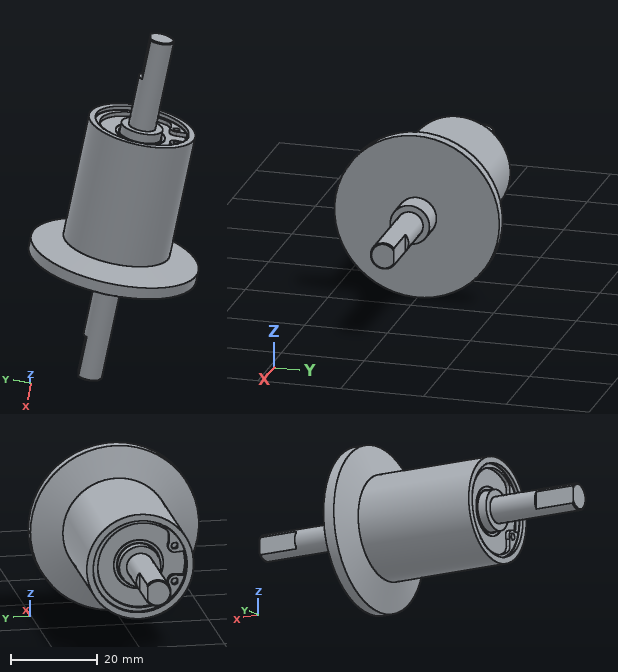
import cadquery as cq

total_length = 86.1
shaft_start = -total_length / 2
shaft_end = total_length / 2
housing_start = -20.75
cone_start = 9.6
cone_end = 11.7
flange_end = 14.55
journal_end = 20.5
journal_inset = 0.1
journal_start = housing_start + journal_inset

housing_diameter = 25.3
flange_diameter = 39.9
bore_diameter = 22.2
ring_depth = 1.0

ring_thickness = 1.0
groove_diameter = 22.65
ring_opening_diameter = 20.5
ring_opening_offset = -0.4
lug_edge_y = -7.1
lug_radius = 1.55
lug_hole_diameter = 1.55
lug_hole_y = -8.35
lug_hole_z = 4.3
opening_corner_radius = 2.1
gap_flare = 0.3

bearing_width = 6.0
bearing_chamfer = 0.215
inner_ring_diameter = 11.7
inner_ring_inset = 0.2

shaft_diameter = 6.4
journal_diameter = 9.8
output_journal_diameter = 9.5
shaft_chamfer = 0.3
flat_length = 10.2
flat_y = 2.4

ring_start = housing_start + ring_depth
bearing_start = ring_start + ring_thickness
bearing_end = bearing_start + bearing_width


def cylinder(diameter, start, end, y=0.0, z=0.0):
    """Cylinder along X between two stations."""
    return cq.Workplane("YZ", origin=(start, y, z)).circle(diameter / 2).extrude(end - start)


def block(start, end, y_min, y_max, z_min, z_max):
    """Axis-aligned box given by its limits."""
    size = (end - start, y_max - y_min, z_max - z_min)
    return cq.Workplane("XY").box(*size, centered=False).translate((start, y_min, z_min))


def make_housing():
    """Flanged barrel with a bearing seat, ring groove and shaft bore."""
    profile = [
        (housing_start, 0),
        (housing_start, housing_diameter / 2),
        (cone_start, housing_diameter / 2),
        (cone_end, flange_diameter / 2),
        (flange_end, flange_diameter / 2),
        (flange_end, 0),
    ]
    body = cq.Workplane("XY").polyline(profile).close().revolve(360, (0, 0, 0), (1, 0, 0))
    body = body.cut(cylinder(bore_diameter, housing_start, bearing_end))
    body = body.cut(cylinder(groove_diameter, ring_start, bearing_start))
    return body.cut(cylinder(output_journal_diameter, bearing_end, flange_end))


def make_bearing_outer_ring():
    """Outer bearing ring seated in the housing bore, its rim chamfered at the open face."""
    body = cylinder(bore_diameter, bearing_start, bearing_end).faces("<X").chamfer(bearing_chamfer)
    return body.cut(cylinder(inner_ring_diameter, bearing_start, bearing_end))


def make_bearing_inner_ring():
    """Inner bearing ring on the shaft journal, its bore chamfered at the open face."""
    inner_ring_start = bearing_start + inner_ring_inset
    body = cylinder(inner_ring_diameter, inner_ring_start, bearing_end)
    body = body.cut(cylinder(journal_diameter, inner_ring_start, bearing_end))
    bore_edge = cq.selectors.RadiusNthSelector(0)
    return body.faces("<X").edges(bore_edge).chamfer(bearing_chamfer)


def make_ring_gap():
    """Prism between the two lugs, widening toward the rim of the ring."""
    inner_half = lug_hole_z - lug_radius
    outer_half = inner_half + gap_flare
    outer_y = -groove_diameter / 2
    outline = [
        (lug_edge_y + lug_radius, -inner_half),
        (lug_hole_y, -inner_half),
        (outer_y, -outer_half),
        (outer_y, outer_half),
        (lug_hole_y, inner_half),
        (lug_edge_y + lug_radius, inner_half),
    ]
    return cq.Workplane("YZ", origin=(ring_start, 0, 0)).polyline(outline).close().extrude(ring_thickness)


def make_retaining_ring():
    """Internal circlip, its two drilled lugs on the -Y side."""
    reach = groove_diameter
    opening = cylinder(ring_opening_diameter, ring_start, bearing_start, y=ring_opening_offset)
    opening = opening.cut(block(ring_start, bearing_start, -reach, lug_edge_y, -reach, reach))
    opening = opening.edges("|X").edges("<Y").fillet(opening_corner_radius)
    ring = cylinder(groove_diameter, ring_start, bearing_start).cut(opening)
    ring = ring.cut(block(ring_start, bearing_start, lug_hole_y, 0, -lug_hole_z, lug_hole_z))
    for side in (-1, 1):
        lug_z = side * lug_hole_z
        ring = ring.union(cylinder(2 * lug_radius, ring_start, bearing_start, lug_hole_y, lug_z))
    ring = ring.cut(make_ring_gap())
    for side in (-1, 1):
        lug_z = side * lug_hole_z
        ring = ring.cut(cylinder(lug_hole_diameter, ring_start, bearing_start, lug_hole_y, lug_z))
    return ring


def make_shaft():
    """Stepped shaft with a flat on the +Y side of each end."""
    body = cylinder(shaft_diameter, shaft_start, shaft_end).faces("<X or >X").chamfer(shaft_chamfer)
    body = body.union(cylinder(journal_diameter, journal_start, bearing_end))
    body = body.union(cylinder(output_journal_diameter, bearing_end, journal_end))
    half = shaft_diameter / 2
    for start, end in (
        (shaft_start, shaft_start + flat_length),
        (shaft_end - flat_length, shaft_end),
    ):
        body = body.cut(block(start, end, flat_y, half, -half, half))
    return body


housing = make_housing()
bearing_outer_ring = make_bearing_outer_ring()
bearing_inner_ring = make_bearing_inner_ring()
retaining_ring = make_retaining_ring()
shaft = make_shaft()

result = cq.Compound.makeCompound([
    housing.val(),
    bearing_outer_ring.val(),
    bearing_inner_ring.val(),
    retaining_ring.val(),
    shaft.val(),
])